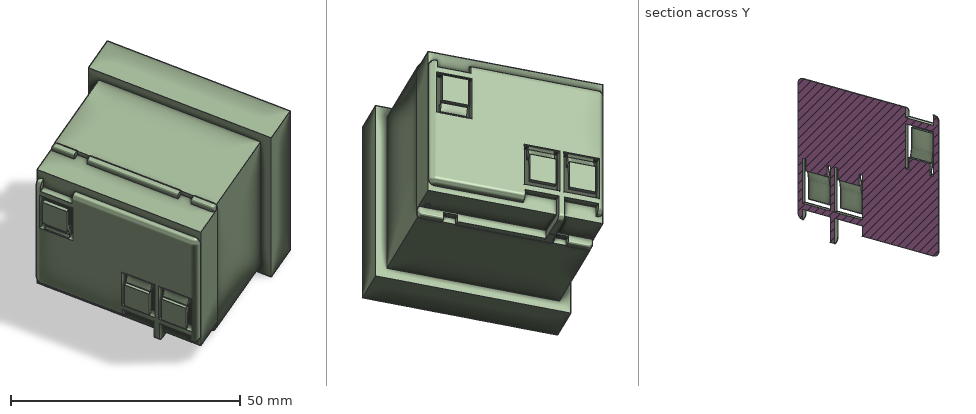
import cadquery as cq


BEZEL_SIZE = 45.0
BEZEL_DEPTH = 9.0
CASE_SIZE = 39.8
CASE_END = 29.9

COVER_WIDTH = 40.28
COVER_TOP = 18.7
COVER_BOTTOM = -17.95
COVER_END = 37.8

FLANGE_SIZE = 40.2
FLANGE_HALF = FLANGE_SIZE / 2
FLANGE_END = CASE_END + 1.45
FLANGE_CORNER_RADIUS = 1.05
FLANGE_EDGE_RADIUS = 0.5
NOTCH_INNER = 11.15
NOTCH_OUTER = 14.35
LOWER_NOTCH_TOP = -18.35

STUD_DIAMETER = 1.15
STUD_HEIGHT = 0.2
STUD_X = 18.4
STUD_DEPTH = 32.35

PAD_WIDTH = 40.2
PAD_HEIGHT = 32.85
PAD_END = 39.38
PAD_EDGE_RADIUS = 1.5
RECESS_OUTER = 18.5
RECESS_WIDTH = 7.75
RECESS_Z = 14.0

RIB_LEFT = 9.45
RIB_ROOT_LEFT = 9.2
RIB_RIGHT = 10.8
RIB_BOTTOM = -CASE_SIZE / 2
RIB_RADIUS = 1.4
RIB_FOOT_END = 33.15

POCKET_WIDTH = 8.2
POCKET_HEIGHT = 10.55
POCKET_TAPER = 0.2
ROCKER_WIDTH = 6.05
ROCKER_END = 40.1
HEAD_TIP = 4.28
HEAD_ROOT = -2.45
HEAD_LEDGE = 0.2
SLOPE_FOOT = -4.55
SLOPE_DROP = 0.68
LIP_DROP = 0.25
LIP_RADIUS = 5.75 / 2
HEAD_BACK_KNEE = -0.2
HEAD_THICKENING = 0.4
HEAD_BACK = 39.25
TERMINALS = [
    (-14.62, 7.35, 0),
    (5.6, -7.35, 180),
    (14.65, -7.35, 180),
]


def block(left, right, near, far, bottom, top):
    """Box between two X values, two depths and two heights."""
    return cq.Workplane("XY").box(
        right - left, far - near, top - bottom, centered=False
    ).translate((left, -far, bottom))


def square_block(size, near, far):
    half = size / 2
    return block(-half, half, near, far, -half, half)


def make_bezel():
    return square_block(BEZEL_SIZE, 0, BEZEL_DEPTH)


def make_case():
    return square_block(CASE_SIZE, BEZEL_DEPTH, CASE_END)


def make_flange():
    flange = square_block(FLANGE_SIZE, CASE_END, FLANGE_END)
    flange = flange.edges("|Y").fillet(FLANGE_CORNER_RADIUS)
    flange = flange.faces("<Y").edges().fillet(FLANGE_EDGE_RADIUS)
    square_edge = block(-NOTCH_INNER, RIB_ROOT_LEFT, CASE_END, FLANGE_END, -FLANGE_HALF, COVER_BOTTOM)
    flange = flange.union(square_edge)
    for left in (-NOTCH_OUTER, NOTCH_INNER):
        right = left + NOTCH_OUTER - NOTCH_INNER
        flange = flange.cut(block(left, right, CASE_END, FLANGE_END, COVER_TOP, FLANGE_HALF))
        flange = flange.cut(block(left, right, CASE_END, FLANGE_END, -FLANGE_HALF, LOWER_NOTCH_TOP))
    return flange


def make_stud(x):
    return cq.Workplane("XY").circle(STUD_DIAMETER / 2).extrude(-STUD_HEIGHT).translate(
        (x, -STUD_DEPTH, COVER_BOTTOM)
    )


def make_pad():
    """Rounded raised pad with one upper and two lower recesses in its border."""
    half_width = PAD_WIDTH / 2
    half_height = PAD_HEIGHT / 2
    pad = block(-half_width, half_width, COVER_END, PAD_END, -half_height, half_height)
    pad = pad.edges("|Y").fillet(PAD_EDGE_RADIUS).faces("<Y").edges().fillet(PAD_EDGE_RADIUS)
    recess_inner = RECESS_OUTER - RECESS_WIDTH
    pad = pad.cut(block(-RECESS_OUTER, -recess_inner, COVER_END, PAD_END, RECESS_Z, half_height))
    for left in (RIB_LEFT - RECESS_WIDTH, RIB_RIGHT):
        pad = pad.cut(block(left, left + RECESS_WIDTH, COVER_END, PAD_END, -half_height, -RECESS_Z))
    return pad


def rib_column(bottom, top):
    """Rib outline, with its leaning left side, extruded between two heights."""
    outline = [
        (RIB_ROOT_LEFT, -CASE_END),
        (RIB_LEFT, -PAD_END),
        (RIB_RIGHT, -PAD_END),
        (RIB_RIGHT, -CASE_END),
    ]
    return cq.Workplane("XY").workplane(offset=bottom).polyline(outline).close().extrude(top - bottom)


def make_rib():
    rib = rib_column(RIB_BOTTOM, -RECESS_Z).faces("<Y").edges("<Z").fillet(RIB_RADIUS)
    foot_zone = block(RIB_ROOT_LEFT, RIB_RIGHT, CASE_END, RIB_FOOT_END, -FLANGE_HALF, COVER_BOTTOM)
    foot = rib_column(-FLANGE_HALF, COVER_BOTTOM).intersect(foot_zone)
    return rib.union(foot)


def make_pocket():
    """Tapered pocket cutter centred on the origin, through the pad's thickness."""
    return (
        cq.Workplane("XZ", origin=(0, -PAD_END, 0))
        .rect(POCKET_WIDTH, POCKET_HEIGHT)
        .workplane(offset=COVER_END - PAD_END)
        .rect(POCKET_WIDTH - 2 * POCKET_TAPER, POCKET_HEIGHT - 2 * POCKET_TAPER)
        .loft()
    )


def make_rocker():
    """Rocker centred on the origin with its head up: head, slope and curved lip."""
    end_wall = -POCKET_HEIGHT / 2
    valley = PAD_END - SLOPE_DROP
    lip_end = PAD_END - LIP_DROP
    profile = (
        cq.Workplane("YZ")
        .moveTo(-HEAD_BACK, HEAD_TIP)
        .lineTo(-ROCKER_END, HEAD_TIP)
        .lineTo(-ROCKER_END, HEAD_ROOT)
        .lineTo(-PAD_END, HEAD_ROOT)
        .lineTo(-PAD_END, HEAD_ROOT - HEAD_LEDGE)
        .lineTo(-valley, SLOPE_FOOT)
        .radiusArc((-lip_end, end_wall), LIP_RADIUS)
        .lineTo(-COVER_END, end_wall)
        .lineTo(-COVER_END, HEAD_ROOT)
        .lineTo(-HEAD_BACK + HEAD_THICKENING, HEAD_ROOT)
        .lineTo(-HEAD_BACK, HEAD_BACK_KNEE)
        .close()
    )
    return profile.extrude(ROCKER_WIDTH / 2, both=True)


def place_terminal(feature, x, z, turn):
    return feature.rotate((0, 0, 0), (0, 1, 0), turn).translate((x, 0, z))


def make_cover():
    half_width = COVER_WIDTH / 2
    cover = block(-half_width, half_width, CASE_END, COVER_END, COVER_BOTTOM, COVER_TOP)
    cover = cover.union(make_flange())
    for stud_x in (-STUD_X, STUD_X):
        cover = cover.union(make_stud(stud_x))
    cover = cover.union(make_pad()).union(make_rib())
    for x, z, turn in TERMINALS:
        cover = cover.cut(place_terminal(make_pocket(), x, z, turn))
        cover = cover.union(place_terminal(make_rocker(), x, z, turn))
    return cover


bezel = make_bezel()
case = make_case()
cover = make_cover()

result = cq.Compound.makeCompound([bezel.val(), case.val(), cover.val()])